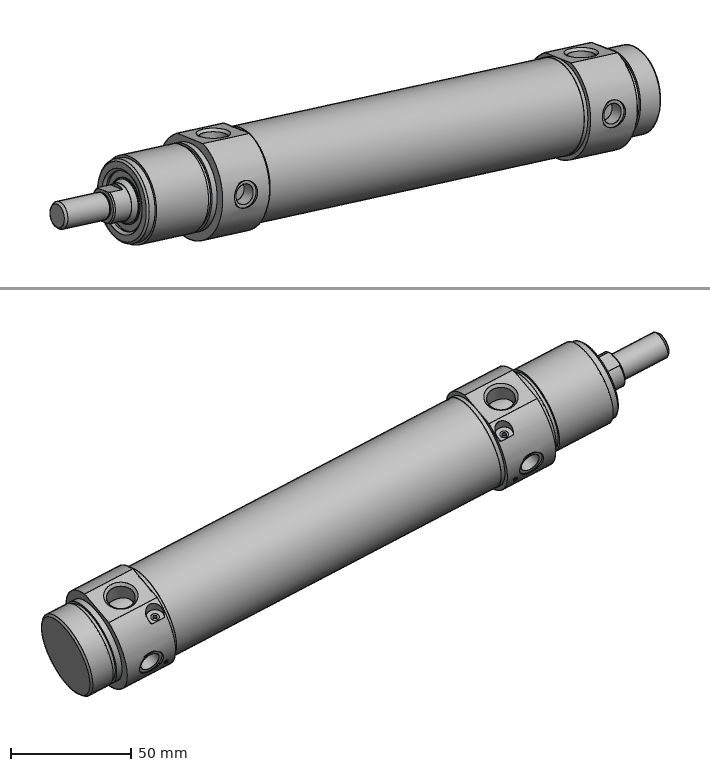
import cadquery as cq
import math


length = 298.0
cover_length = 24.0
skirt_length = 1.8
rear_collar = 15.5
front_collar = 205.3
rear_collar_end = rear_collar + cover_length
front_collar_end = front_collar + cover_length
barrel_start = rear_collar_end + skirt_length
barrel_end = front_collar - skirt_length
groove_width = 1.8
rear_groove = 11.0
front_groove = 232.0
nose_shoulder = 260.8
nose_face = 264.5

barrel_diameter = 41.7
skirt_diameter = 42.0
collar_diameter = 46.0
neck_diameter = 38.0
groove_diameter = 36.0
nose_lip_diameter = 36.0
end_chamfer = 1.0
lip_chamfer = 1.0

nose_recess_diameter = 26.0
nose_recess_mouth = 28.3
nose_recess_depth = 2.0
wiper_base_diameter = 20.0
wiper_tip_diameter = 16.5
wiper_base_height = 0.5
wiper_cone_diameter = 18.8
wiper_overhang = 1.0

rod_diameter = 16.0
thread_diameter = 12.0
undercut_diameter = 11.3
undercut_width = 0.5
thread_tip_diameter = 10.0
thread_chamfer = 1.2
rod_shoulder = 274.5
rod_shoulder_chamfer = 0.5
wrench_flat_start = 267.3
wrench_flat_width = 13.7

port_flat_width = 18.2
port_flat_height = math.sqrt(collar_diameter**2 - port_flat_width**2) / 2
port_diameter = 12.0
port_mouth_diameter = 14.3
port_core_diameter = 26.0

pivot_diameter = 9.0
pivot_spot_diameter = 12.0
pivot_spot_recess = 0.3
pivot_depth = 7.5

needle_offset = 7.7
needle_x = -14.0
needle_seat_diameter = 7.7
needle_seat_height = 16.0
needle_diameter = 3.5
needle_length = 9.0
needle_socket_diameter = 1.8
needle_socket_depth = 1.8
plug_diameter = 2.0
plug_height = -5.0
plug_length = 3.0
plug_face = -math.sqrt((collar_diameter / 2) ** 2 - plug_height**2)

rear_port = rear_collar + cover_length / 2
front_port = front_collar + cover_length / 2


def turned(profile):
    """Revolve (diameter, station) points around the cylinder axis."""
    points = [(diameter / 2, -station) for diameter, station in profile]
    return cq.Workplane("XY").polyline(points).close().revolve(360, (0, 0, 0), (0, 1, 0))


def cylinder(diameter, start, direction, height):
    """Round bar running from the start point along the direction."""
    solid = cq.Solid.makeCylinder(diameter / 2, height, cq.Vector(*start), cq.Vector(*direction))
    return cq.Workplane(solid)


def countersunk_hole(diameter, mouth_diameter, mouth, direction, depth):
    """Cutting tool for a round hole with a 45 degree countersink at its mouth."""
    sink = (mouth_diameter - diameter) / 2
    cone = cq.Solid.makeCone(
        mouth_diameter / 2, diameter / 2, sink, cq.Vector(*mouth), cq.Vector(*direction)
    )
    return cylinder(diameter, mouth, direction, depth).union(cq.Workplane(cone))


def machine_cover(blank, port, barrel_side):
    """Cut the flat, port, pivot holes, needle seat and bleed hole of one cover.

    barrel_side is +1 when the barrel lies further along the stations, -1 otherwise.
    """
    y = -port
    side_y = -(port + barrel_side * needle_offset)
    radius = collar_diameter / 2

    flat = cq.Workplane("XY").box(
        collar_diameter, cover_length, collar_diameter, centered=(True, True, False)
    ).translate((0, y, port_flat_height))
    cover = blank.cut(flat)

    port_hole = countersunk_hole(
        port_diameter, port_mouth_diameter, (0, y, port_flat_height), (0, 0, -1), port_flat_height
    )
    core = cylinder(port_core_diameter, (0, y - cover_length / 2, 0), (0, 1, 0), cover_length)
    cover = cover.cut(port_hole.cut(core))

    spot_depth = radius - math.sqrt(radius**2 - (pivot_spot_diameter / 2) ** 2) + pivot_spot_recess
    for side in (-1, 1):
        start = (side * radius, y, 0)
        inward = (-side, 0, 0)
        spot = cylinder(pivot_spot_diameter, start, inward, spot_depth)
        hole = cylinder(pivot_diameter, start, inward, pivot_depth)
        cover = cover.cut(spot).cut(hole)

    seat = cylinder(needle_seat_diameter, (needle_x, side_y, needle_seat_height), (0, 0, 1), radius)
    cover = cover.cut(seat)
    cover = cover.cut(needle_blank(side_y))
    return cover.cut(make_plug(side_y))


def needle_blank(y):
    """Plain needle; it also shapes the bore that holds the needle."""
    return cylinder(needle_diameter, (needle_x, y, needle_seat_height), (0, 0, -1), needle_length)


def make_needle(y):
    """Cushion needle, flush with the floor of its seat, with a round socket."""
    top = (needle_x, y, needle_seat_height)
    socket = cylinder(needle_socket_diameter, top, (0, 0, -1), needle_socket_depth)
    return needle_blank(y).cut(socket)


def make_plug(y):
    """Plug that closes the bleed drilling in the side of a cover."""
    return cylinder(plug_diameter, (plug_face, y, plug_height), (1, 0, 0), plug_length)


def make_rear_cover():
    blank = turned([
        (0, 0),
        (neck_diameter - 2 * end_chamfer, 0),
        (neck_diameter, end_chamfer),
        (neck_diameter, rear_groove),
        (groove_diameter, rear_groove),
        (groove_diameter, rear_groove + groove_width),
        (neck_diameter, rear_groove + groove_width),
        (neck_diameter, rear_collar),
        (collar_diameter, rear_collar),
        (collar_diameter, rear_collar_end),
        (skirt_diameter, rear_collar_end),
        (skirt_diameter, barrel_start),
        (0, barrel_start),
    ])
    return machine_cover(blank, rear_port, 1)


def make_front_cover():
    recess_floor = nose_face - nose_recess_depth
    mouth_chamfer = (nose_recess_mouth - nose_recess_diameter) / 2
    blank = turned([
        (rod_diameter, barrel_end),
        (skirt_diameter, barrel_end),
        (skirt_diameter, front_collar),
        (collar_diameter, front_collar),
        (collar_diameter, front_collar_end),
        (neck_diameter, front_collar_end),
        (neck_diameter, front_groove),
        (groove_diameter, front_groove),
        (groove_diameter, front_groove + groove_width),
        (neck_diameter, front_groove + groove_width),
        (neck_diameter, nose_shoulder),
        (nose_lip_diameter, nose_shoulder),
        (nose_lip_diameter, nose_face - lip_chamfer),
        (nose_lip_diameter - 2 * lip_chamfer, nose_face),
        (nose_recess_mouth, nose_face),
        (nose_recess_diameter, nose_face - mouth_chamfer),
        (nose_recess_diameter, recess_floor),
        (wiper_base_diameter, recess_floor),
        (wiper_base_diameter, recess_floor + wiper_base_height),
        (wiper_cone_diameter, recess_floor + wiper_base_height),
        (wiper_tip_diameter, nose_face + wiper_overhang),
        (rod_diameter, nose_face + wiper_overhang),
    ])
    return machine_cover(blank, front_port, -1)


def make_barrel():
    return cylinder(barrel_diameter, (0, -barrel_end, 0), (0, 1, 0), barrel_end - barrel_start)


def make_rod():
    """Rod with its wrench flats and end thread, reaching back to the barrel."""
    rod = turned([
        (0, barrel_end),
        (rod_diameter, barrel_end),
        (rod_diameter, rod_shoulder - rod_shoulder_chamfer),
        (rod_diameter - 2 * rod_shoulder_chamfer, rod_shoulder),
        (undercut_diameter, rod_shoulder),
        (undercut_diameter, rod_shoulder + undercut_width),
        (thread_diameter, rod_shoulder + undercut_width),
        (thread_diameter, length - thread_chamfer),
        (thread_tip_diameter, length),
        (0, length),
    ])
    flat_length = rod_shoulder - wrench_flat_start
    flat_center = -(wrench_flat_start + rod_shoulder) / 2
    for side in (-1, 1):
        flat = cq.Workplane("XY").box(rod_diameter, flat_length, rod_diameter).translate(
            (0, flat_center, side * (wrench_flat_width + rod_diameter) / 2)
        )
        rod = rod.cut(flat)
    return rod


barrel = make_barrel()
rear_cover = make_rear_cover()
front_cover = make_front_cover()
rod = make_rod()
needle_stations = (rear_port + needle_offset, front_port - needle_offset)
needles = [make_needle(-station) for station in needle_stations]
plugs = [make_plug(-station) for station in needle_stations]

result = cq.Compound.makeCompound(
    [body.val() for body in (barrel, rear_cover, front_cover, rod, *needles, *plugs)]
)